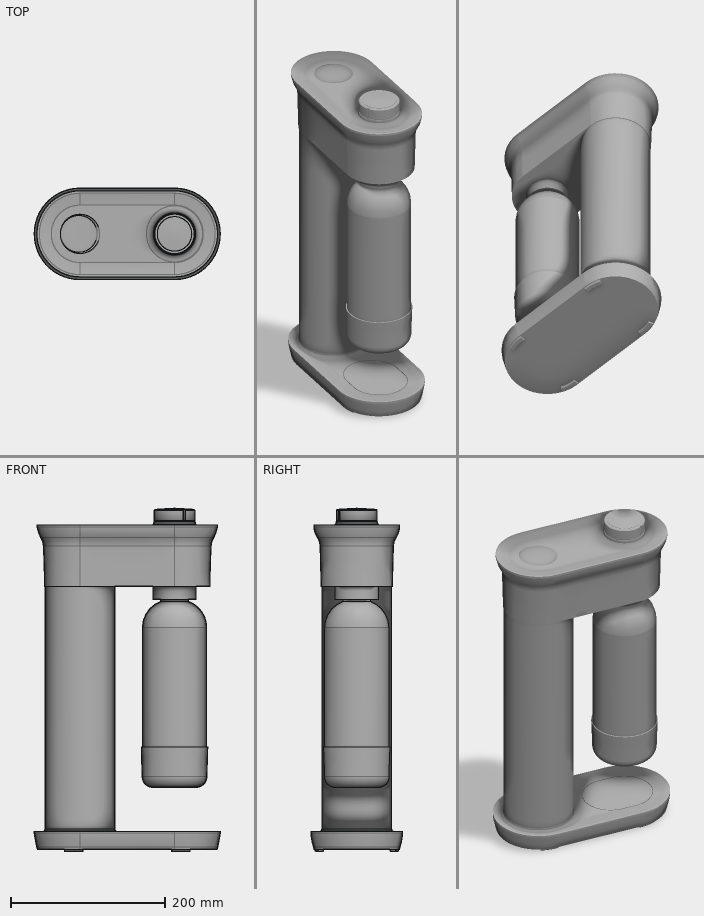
import cadquery as cq
import math

overall_length = 241.6
overall_width = 118.94
overall_height = 445.54
axis_spacing = overall_length - overall_width
column_x = -axis_spacing / 2
bottle_x = axis_spacing / 2

base_top_radius = overall_width / 2
base_bottom_radius = 55.3
foot_height = 2.8
base_top_z = 26.3
base_lip_height = 2.5
base_bulge = 0.6
base_edge_z = 6.1
base_edge_radius = 56.2

dish_floor_radius = 37.3
dish_depth = 2.0
dish_sag = 0.3
rim_width = 3.0

skirt_step = 0.8
skirt_rise = 2.6
skirt_sag = 0.6
root_depth = 2.0

tray_stretch = 20.0
tray_groove_depth = 1.0
tray_groove_width = 1.0

foot_angle_start = 86.0
foot_angle_end = 112.0
foot_outer_radius = 54.0
foot_width = 7.5
foot_chamfer = 1.0

column_radius = 45.3
column_skirt_radius = 55.0
column_skirt_top_z = 29.2

head_bottom_z = 344.0
head_bottom_radius = 46.2
head_neck_z = 396.3
head_neck_radius = 47.6
head_flare_z = 407.5
head_flare_radius = 51.0
head_lip_z = 421.3
head_top_z = 424.0
head_top_radius = 55.8

dimple_radius = 25.5
dimple_floor_radius = 23.9
dimple_depth = 1.0

knob_skirt_radius = 36.5
knob_radius = 26.6
knob_bottom_z = 428.3
knob_edge_z = 443.8
knob_cap_z = 444.3
knob_edge_round = 1.0
knob_cap_radius = 22.4
knob_seam_depth = 0.8
knob_seam_height = 1.2
marker_angle = -61.0
marker_width = 3.0
marker_depth = 0.8

collar_radius = 28.0
collar_bottom_z = 327.3
neck_radius = 18.0
shoulder_bottom_z = 290.6
shoulder_radius = 36.0
bottle_radius = 41.7
sleeve_top_z = 135.4
sleeve_top_radius = 43.2
sleeve_radius = 42.0
bottle_bottom_z = 83.2
bottle_bottom_round = 14.0


def revolved(profile, x):
    """Turn a closed XZ half profile about the vertical axis at x, its seam facing outwards."""
    outline = cq.Workplane("XZ").add(profile.val()).toPending()
    turned = outline.revolve(360, (0, 0, 0), (0, 1, 0))
    seam_angle = 180 if x < 0 else 0
    return turned.rotate((0, 0, 0), (0, 0, 1), seam_angle).translate((x, 0, 0))


def stadium(profile):
    """Carry a half profile round a stadium: two turned ends and a straight middle."""
    half = profile.extrude(axis_spacing / 2, both=True)
    ends = revolved(profile, column_x).union(revolved(profile, bottle_x))
    side = half.rotate((0, 0, 0), (0, 0, 1), 90)
    return ends.union(side).union(side.mirror("XZ"))


def hollow_top(body, rim_radius, top_z):
    """Sink a concave dish with a flat stadium floor into the top of a stadium body."""
    floor_z = top_z - dish_depth
    middle_radius = (rim_radius + dish_floor_radius) / 2
    profile = (
        cq.Workplane("XZ")
        .moveTo(0, floor_z)
        .lineTo(dish_floor_radius, floor_z)
        .threePointArc((middle_radius, floor_z + dish_depth / 2 - dish_sag), (rim_radius, top_z))
        .lineTo(0, top_z)
        .close()
    )
    return body.cut(stadium(profile))


def skirt_points(post_radius, skirt_radius, floor_z):
    """Middle and top points of the concave skirt arc round a post."""
    top_radius = post_radius + skirt_step
    middle = ((top_radius + skirt_radius) / 2, floor_z + skirt_rise / 2 - skirt_sag)
    return middle, (top_radius, floor_z + skirt_rise)


def make_base():
    """Tapered stadium with a dished top and a groove round the flush tray."""
    lip_z = base_top_z - base_lip_height
    middle_radius = (base_edge_radius + base_top_radius) / 2 + base_bulge
    profile = (
        cq.Workplane("XZ")
        .moveTo(0, foot_height)
        .lineTo(base_bottom_radius, foot_height)
        .lineTo(base_edge_radius, base_edge_z)
        .threePointArc((middle_radius, (base_edge_z + lip_z) / 2), (base_top_radius, lip_z))
        .lineTo(base_top_radius, base_top_z)
        .lineTo(0, base_top_z)
        .close()
    )
    body = hollow_top(stadium(profile), base_top_radius - rim_width, base_top_z)
    outer_width = 2 * dish_floor_radius
    inner_width = outer_width - 2 * tray_groove_width
    groove_base = cq.Workplane(
        "XY", origin=(bottle_x - tray_stretch / 2, 0, base_top_z - dish_depth - tray_groove_depth)
    )
    outer = groove_base.slot2D(tray_stretch + outer_width, outer_width).extrude(tray_groove_depth)
    inner = groove_base.slot2D(tray_stretch + inner_width, inner_width).extrude(tray_groove_depth)
    return body.cut(outer.cut(inner))


def make_foot():
    """Arc-shaped pad with chamfered lower edges, turned about the Z axis."""
    inner_radius = foot_outer_radius - foot_width
    return (
        cq.Workplane("XZ")
        .moveTo(inner_radius + foot_chamfer, 0)
        .lineTo(foot_outer_radius - foot_chamfer, 0)
        .lineTo(foot_outer_radius, foot_chamfer)
        .lineTo(foot_outer_radius, foot_height)
        .lineTo(inner_radius, foot_height)
        .lineTo(inner_radius, foot_chamfer)
        .close()
        .revolve(foot_angle_end - foot_angle_start, (0, 0, 0), (0, -1, 0))
    )


def make_feet():
    """Four pads, one pair under each end of the base."""
    left_pad = (
        make_foot()
        .rotate((0, 0, 0), (0, 0, 1), foot_angle_end)
        .translate((column_x, 0, 0))
    )
    left = left_pad.union(left_pad.mirror("XZ"))
    return left.union(left.mirror("YZ"))


def make_column():
    """Round post from the base floor to the underside of the head."""
    floor_z = base_top_z - dish_depth
    skirt_middle, skirt_top = skirt_points(column_radius, column_skirt_radius, floor_z)
    profile = (
        cq.Workplane("XZ")
        .moveTo(0, floor_z - root_depth)
        .lineTo(column_radius, floor_z - root_depth)
        .lineTo(column_skirt_radius, floor_z)
        .threePointArc(skirt_middle, skirt_top)
        .lineTo(column_radius, column_skirt_top_z)
        .lineTo(column_radius, head_bottom_z)
        .lineTo(0, head_bottom_z)
        .close()
    )
    return revolved(profile, column_x)


def make_head():
    """Stadium that flares to a dished top, with a shallow dimple in its floor."""
    profile = (
        cq.Workplane("XZ")
        .moveTo(0, head_bottom_z)
        .lineTo(head_bottom_radius, head_bottom_z)
        .lineTo(head_neck_radius, head_neck_z)
        .tangentArcPoint((head_flare_radius, head_flare_z), relative=False)
        .tangentArcPoint((head_top_radius, head_lip_z), relative=False)
        .lineTo(head_top_radius, head_top_z)
        .lineTo(0, head_top_z)
        .close()
    )
    body = hollow_top(stadium(profile), head_top_radius - rim_width, head_top_z)
    dimple_floor_z = head_top_z - dish_depth - dimple_depth
    floor_shift = dimple_floor_radius - dimple_radius
    dimple = (
        cq.Workplane("XY", origin=(column_x, 0, dimple_floor_z))
        .center(floor_shift, 0)
        .circle(dimple_floor_radius)
        .workplane(offset=dimple_depth)
        .center(-floor_shift, 0)
        .circle(dimple_radius)
        .loft(ruled=True)
    )
    return body.cut(dimple)


def make_knob():
    """Round knob on a concave skirt, with a seam groove and a marker notch."""
    floor_z = head_top_z - dish_depth
    skirt_middle, skirt_top = skirt_points(knob_radius, knob_skirt_radius, floor_z)
    waist_radius = knob_radius - knob_seam_depth
    seam_top_z = knob_bottom_z + knob_seam_height
    profile = (
        cq.Workplane("XZ")
        .moveTo(0, floor_z - root_depth)
        .lineTo(knob_radius, floor_z - root_depth)
        .lineTo(knob_skirt_radius, floor_z)
        .threePointArc(skirt_middle, skirt_top)
        .lineTo(knob_radius, knob_bottom_z)
        .lineTo(waist_radius, knob_bottom_z)
        .lineTo(waist_radius, seam_top_z)
        .lineTo(knob_radius, seam_top_z)
        .lineTo(knob_radius, knob_edge_z - knob_edge_round)
        .lineTo(knob_radius - knob_edge_round, knob_edge_z)
        .lineTo(knob_cap_radius, knob_edge_z)
        .lineTo(knob_cap_radius, knob_cap_z)
        .lineTo(0, overall_height)
        .close()
    )
    knob = revolved(profile, bottle_x)
    marker = (
        cq.Workplane("XY", origin=(0, 0, seam_top_z))
        .center(knob_radius, 0)
        .rect(2 * marker_depth, marker_width)
        .extrude(knob_edge_z - seam_top_z)
        .rotate((0, 0, 0), (0, 0, 1), marker_angle)
        .translate((bottle_x, 0, 0))
    )
    return knob.cut(marker)


def make_bottle():
    """Round-shouldered bottle with its lower sleeve, neck and collar."""
    arc_centre_radius = bottle_radius - shoulder_radius
    arc_top = math.acos((neck_radius - arc_centre_radius) / shoulder_radius)
    shoulder_end_z = shoulder_bottom_z + shoulder_radius * math.sin(arc_top)
    shoulder_middle = (
        arc_centre_radius + shoulder_radius * math.cos(arc_top / 2),
        shoulder_bottom_z + shoulder_radius * math.sin(arc_top / 2),
    )
    profile = (
        cq.Workplane("XZ")
        .moveTo(0, bottle_bottom_z)
        .lineTo(sleeve_radius - bottle_bottom_round, bottle_bottom_z)
        .radiusArc((sleeve_radius, bottle_bottom_z + bottle_bottom_round), -bottle_bottom_round)
        .lineTo(sleeve_top_radius, sleeve_top_z)
        .lineTo(bottle_radius, sleeve_top_z)
        .lineTo(bottle_radius, shoulder_bottom_z)
        .threePointArc(shoulder_middle, (neck_radius, shoulder_end_z))
        .lineTo(neck_radius, collar_bottom_z)
        .lineTo(collar_radius, collar_bottom_z)
        .lineTo(collar_radius, head_bottom_z)
        .lineTo(0, head_bottom_z)
        .close()
    )
    return revolved(profile, bottle_x)


result = make_base()
for piece in (make_feet(), make_column(), make_head(), make_knob(), make_bottle()):
    result = result.union(piece)